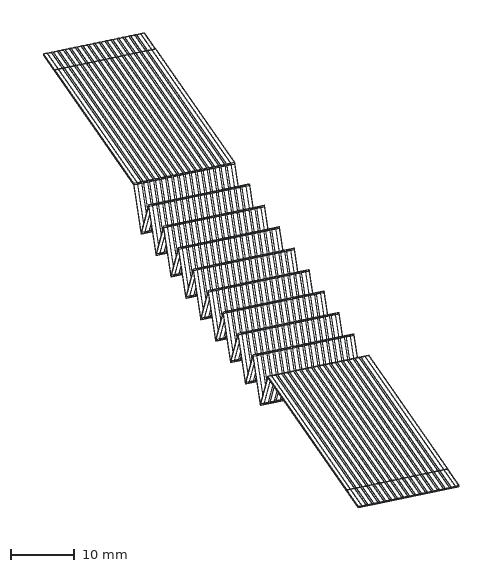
import cadquery as cq

LENGTH = 139.4
WIDTH = 17.0
HEIGHT = 7.5

THICKNESS = 0.3
COVER_THICKNESS = 0.05
CHANNEL_DEPTH = 0.04

TAB_LENGTH = 40.0
PLEAT_COUNT = 9

CHANNEL_COUNT = 16
CHANNEL_PITCH = 1.0
CHANNEL_WIDTH = 0.7

STRIPPED_LENGTH = 5.0

pleat_drop = HEIGHT - THICKNESS
fold_run = (LENGTH - 2 * TAB_LENGTH) / (2 * PLEAT_COUNT)
channel_top = THICKNESS - COVER_THICKNESS
channel_floor = channel_top - CHANNEL_DEPTH


def fold_path():
    """Corners (x, z) of the ribbon's underside, from the left end to the right end."""
    path = [(-LENGTH / 2, 0)]
    for fold in range(2 * PLEAT_COUNT + 1):
        x = -LENGTH / 2 + TAB_LENGTH + fold * fold_run
        is_valley = fold % 2 == 1
        path.append((x, -pleat_drop if is_valley else 0))
    path.append((LENGTH / 2, 0))
    return path


def folded_layer(bottom, top, width, y_center=0):
    """Strip that follows the folds, between two heights above the underside."""
    path = fold_path()
    lower = [(x, z + bottom) for x, z in path]
    upper = [(x, z + top) for x, z in path]
    outline = cq.Workplane("XZ").polyline(lower + upper[::-1]).close()
    return outline.extrude(width / 2, both=True).translate((0, y_center, 0))


def stripped_cover(side):
    """Piece of cover film removed at one end; side is -1 for left and 1 for right."""
    piece = cq.Workplane("XY").box(
        STRIPPED_LENGTH, WIDTH, COVER_THICKNESS, centered=(True, True, False)
    )
    return piece.translate((side * (LENGTH - STRIPPED_LENGTH) / 2, 0, channel_top))


result = folded_layer(0, THICKNESS, WIDTH)

for side in (-1, 1):
    result = result.cut(stripped_cover(side))

for index in range(CHANNEL_COUNT):
    y_center = (index - (CHANNEL_COUNT - 1) / 2) * CHANNEL_PITCH
    channel = folded_layer(channel_floor, channel_top, CHANNEL_WIDTH, y_center)
    result = result.cut(channel)